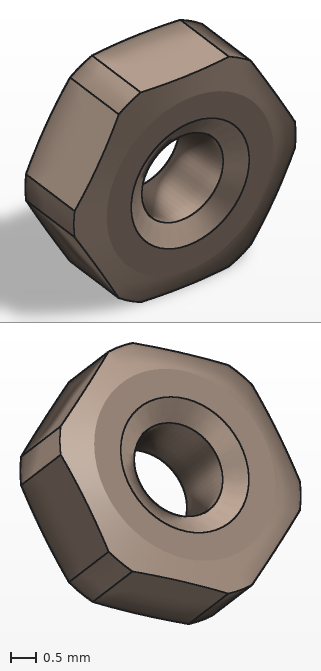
import cadquery as cq
import math

thickness = 2.0
side_count = 6
across_flats = 5.0
corner_diameter = 5.45
face_diameter = 4.1
chamfer_angle = 15.0
bore_diameter = 2.0
countersink_diameter = 2.9
countersink_angle = 120.0

half_thickness = thickness / 2
corner_radius = corner_diameter / 2
face_radius = face_diameter / 2
bore_radius = bore_diameter / 2
countersink_radius = countersink_diameter / 2
chamfer_depth = (corner_radius - face_radius) * math.tan(math.radians(chamfer_angle))
countersink_depth = (countersink_radius - bore_radius) / math.tan(math.radians(countersink_angle / 2))


def hexagonal_prism():
    """Hexagon with corners on +Y and -Y and flats facing +Z and -Z."""
    across_corners = across_flats / math.cos(math.pi / side_count)
    return (
        cq.Workplane("YZ")
        .polygon(side_count, across_corners)
        .extrude(half_thickness, both=True)
    )


def turned_envelope():
    """Body of revolution about X: chamfered outside, countersunk bore inside."""
    chamfer_x = half_thickness - chamfer_depth
    countersink_x = half_thickness - countersink_depth
    profile = [
        (-half_thickness, countersink_radius),
        (-half_thickness, face_radius),
        (-chamfer_x, corner_radius),
        (chamfer_x, corner_radius),
        (half_thickness, face_radius),
        (half_thickness, countersink_radius),
        (countersink_x, bore_radius),
        (-countersink_x, bore_radius),
    ]
    return (
        cq.Workplane("XY")
        .polyline(profile)
        .close()
        .revolve(360, (0, 0, 0), (1, 0, 0))
    )


result = hexagonal_prism().intersect(turned_envelope())